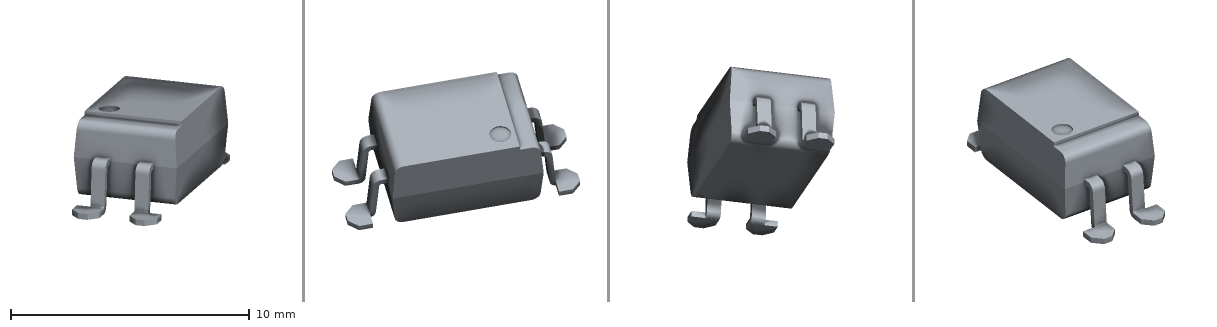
import cadquery as cq
import math

body_width = 4.58
body_length = 6.5
body_bottom = 0.35
body_top = 3.85
parting_z = (body_bottom + body_top) / 2
draft_inset = 0.14
edge_radius = 0.4

step_depth = 0.19
step_y = -2.25

mark_x = -1.29
mark_y = -1.61
mark_radius = 0.45
mark_depth = 0.08

lead_thickness = 0.26
lead_width = 0.61
lead_inner_x = 0.67
lead_tip_y = 5.0
lead_embed = 0.2
leg_angle = 5.0
shoulder_y = 3.83
upper_outer_radius = 0.37
upper_inner_radius = upper_outer_radius - lead_thickness
lower_outer_radius = 0.3
lower_inner_radius = 0.08

pad_width = 1.21
pad_length = 1.0
pad_chamfer = 0.4


def body_half(outer_z):
    """Half of the body, tapering from the parting plane to outer_z."""
    return (
        cq.Workplane("XY", origin=(0, 0, parting_z))
        .rect(body_width, body_length)
        .workplane(offset=outer_z - parting_z)
        .rect(body_width - 2 * draft_inset, body_length - 2 * draft_inset)
        .loft(ruled=True)
    )


def make_body():
    upper = body_half(body_top)
    step_front_y = -body_length / 2
    step = cq.Workplane("XY").box(
        body_width, step_y - step_front_y, step_depth, centered=(True, False, False)
    ).translate((0, step_front_y, body_top - step_depth))
    upper = upper.cut(step)
    upper = upper.faces(">Z").edges(">Y").fillet(edge_radius)
    step_edge = cq.selectors.NearestToPointSelector((0, step_front_y, body_top - step_depth))
    upper = upper.edges(step_edge).fillet(edge_radius)
    lower = body_half(body_bottom).faces("<Z").edges("|X").fillet(edge_radius)
    mark = (
        cq.Workplane("XY", origin=(mark_x, mark_y, body_top))
        .circle(mark_radius)
        .extrude(-mark_depth)
    )
    return upper.union(lower).cut(mark)


def make_lead():
    """The lead at +X, +Y, with its pad reaching outward in X."""
    slope = math.tan(math.radians(leg_angle))
    leg_run = lead_thickness / math.cos(math.radians(leg_angle))
    lead_top = parting_z + lead_thickness / 2
    lead_under = lead_top - lead_thickness

    def outer_face_y(z):
        return shoulder_y + (lead_top - z) * slope

    upper_outer = (outer_face_y(lead_top), lead_top)
    upper_inner = (outer_face_y(lead_under) - leg_run, lead_under)
    lower_inner = (outer_face_y(lead_thickness), lead_thickness)
    lower_outer = (outer_face_y(0) - leg_run, 0)
    root_y = body_length / 2 - lead_embed
    strip_end_y = lead_tip_y - pad_chamfer
    strip = (
        cq.Workplane("YZ", origin=(lead_inner_x, 0, 0))
        .moveTo(root_y, lead_top)
        .lineTo(*upper_outer)
        .lineTo(*lower_inner)
        .lineTo(strip_end_y, lead_thickness)
        .lineTo(strip_end_y, 0)
        .lineTo(*lower_outer)
        .lineTo(*upper_inner)
        .lineTo(root_y, lead_under)
        .close()
        .extrude(lead_width)
    )
    bends = [
        (upper_outer, upper_outer_radius),
        (upper_inner, upper_inner_radius),
        (lower_inner, lower_inner_radius),
        (lower_outer, lower_outer_radius),
    ]
    for (y, z), radius in bends:
        corner = cq.selectors.NearestToPointSelector((lead_inner_x + lead_width / 2, y, z))
        strip = strip.edges(corner).fillet(radius)

    pad = (
        cq.Workplane("XY")
        .box(pad_width, pad_length, lead_thickness, centered=False)
        .edges("|Z and >Y")
        .chamfer(pad_chamfer)
        .translate((lead_inner_x, lead_tip_y - pad_length, 0))
    )
    return strip.union(pad)


result = make_body()
right_back_lead = make_lead()
back_leads = right_back_lead.union(right_back_lead.mirror("YZ"))
result = result.union(back_leads).union(back_leads.mirror("XZ"))